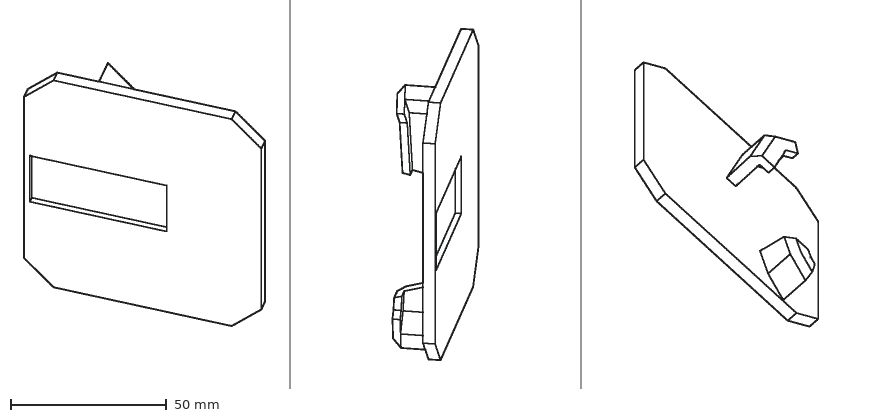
import cadquery as cq

plate_width = 80.0
plate_height = 90.0
plate_thickness = 4.0
corner_cut = 10.0

recess_left = -38.0
recess_length = 46.1
recess_height = 20.0
recess_depth = 2.0

clip_back = 16.5
cap_thickness = 2.5
cap_front = clip_back - cap_thickness
clip_end = 44.4
inner_taper = 3.2


upper_inner_end = 6.3
upper_right_side = [(-16.2, clip_end), (-5.3, 33.5), (2.0, upper_inner_end)]
upper_stem_left = [(-2.25, upper_inner_end), (-8.9, 31.5), (-17.1, 39.7)]
upper_cap_left = [(-6.4, upper_inner_end), (-12.5, 29.4), (-18.0, 34.9)]

lower_inner_end = -24.3
lower_right_side = [(-23.9, -clip_end), (-17.0, -35.3), (-13.3, lower_inner_end)]
lower_stem_left = [(-17.4, lower_inner_end), (-20.25, -32.9), (-24.8, -39.1)]
lower_cap_left = [(-21.6, lower_inner_end), (-23.85, -31.2), (-25.7, -33.7)]


def prism(outline, front, back):
    """Extrude an (X, Z) outline between two Y levels."""
    return (
        cq.Workplane("XZ", origin=(0, front, 0))
        .polyline(outline)
        .close()
        .extrude(front - back)
    )


def end_envelope(inner_end, outward):
    """Side profile with a tapered inner end, up to the clip's outer tip."""
    outer_end = outward * clip_end
    profile = [
        (0, inner_end),
        (plate_thickness, inner_end),
        (clip_back, inner_end + outward * inner_taper),
        (clip_back, outer_end),
        (0, outer_end),
    ]
    return (
        cq.Workplane("YZ")
        .polyline(profile)
        .close()
        .extrude(plate_width / 2, both=True)
    )


def back_edge_near(start, end):
    """Selector for the back edge above the outline segment start-end."""
    middle = ((start[0] + end[0]) / 2, clip_back, (start[1] + end[1]) / 2)
    return cq.selectors.NearestToPointSelector(middle)


def bevelled_cap(right_side, cap_left):
    """Cap whose two right-hand edges are bevelled over its whole thickness."""
    tip, corner, inner = right_side
    block = prism(right_side + cap_left, plate_thickness, clip_back)
    bevelled_edges = cq.selectors.SumSelector(
        back_edge_near(tip, corner), back_edge_near(corner, inner)
    )
    cap_layer = (
        cq.Workplane("XY")
        .box(plate_width, cap_thickness, plate_height)
        .translate((0, clip_back - cap_thickness / 2, 0))
    )
    return block.edges(bevelled_edges).chamfer(cap_thickness).intersect(cap_layer)


def clip(right_side, stem_left, cap_left, outward):
    """Hooked stem carrying an overhanging cap, with a tapered inner end."""
    inner_end = right_side[-1][1]
    stem = prism(right_side + stem_left, plate_thickness / 2, cap_front)
    cap = bevelled_cap(right_side, cap_left)
    return stem.union(cap).intersect(end_envelope(inner_end, outward))


plate = (
    cq.Workplane("XY")
    .box(plate_width, plate_thickness, plate_height)
    .translate((0, plate_thickness / 2, 0))
    .edges("|Y")
    .chamfer(corner_cut)
)

recess = (
    cq.Workplane("XY")
    .box(recess_length, recess_depth, recess_height)
    .translate((recess_left + recess_length / 2, recess_depth / 2, 0))
)

upper_clip = clip(upper_right_side, upper_stem_left, upper_cap_left, outward=1)
lower_clip = clip(lower_right_side, lower_stem_left, lower_cap_left, outward=-1)

result = plate.union(upper_clip).union(lower_clip).cut(recess)